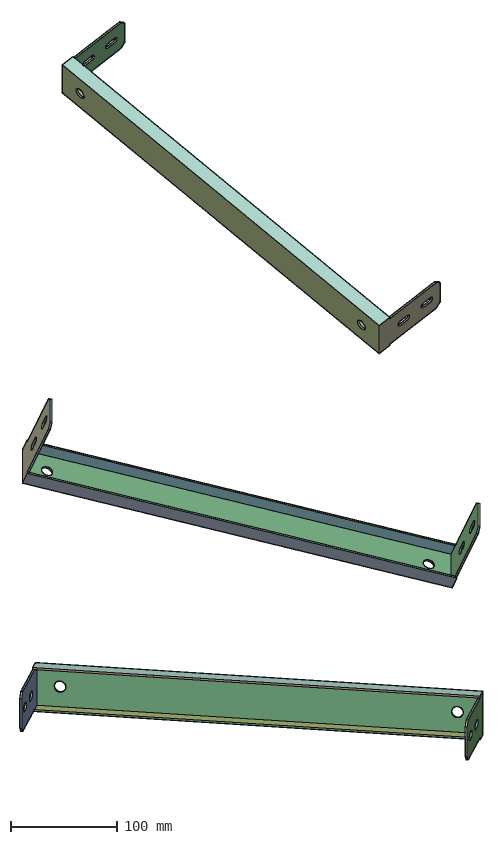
import cadquery as cq

LENGTH = 428.0
DEPTH = 80.0
HEIGHT = 44.0
SHEET = 2.0

FLANGE_DEPTH = 14.0

TAB_HEIGHT = HEIGHT - 2 * SHEET
TAB_CORNER_CHAMFER = 5.0

HOLE_DIAMETER = 11.0
HOLE_SPACING = 380.0

SLOT_LENGTH = 15.0
SLOT_WIDTH = 7.0
SLOT_SPACING = 30.0
SLOT_END_DISTANCE = 17.5


def make_channel():
    """Front web with rearward top and bottom flanges; the web's front face is at Y = 0."""
    outer = cq.Workplane("XY").box(LENGTH, FLANGE_DEPTH, HEIGHT, centered=(True, False, True))
    cavity = (
        cq.Workplane("XY")
        .box(LENGTH, FLANGE_DEPTH, TAB_HEIGHT, centered=(True, False, True))
        .translate((0, SHEET, 0))
    )
    return outer.cut(cavity)


def make_tab(side):
    """Slotted end tab at the -X end (side = -1) or the +X end (side = 1)."""
    tab = (
        cq.Workplane("XY")
        .box(SHEET, DEPTH, TAB_HEIGHT, centered=(True, False, True))
        .edges("|X and >Y")
        .chamfer(TAB_CORNER_CHAMFER)
    )
    far_slot_y = DEPTH - SLOT_END_DISTANCE
    slots = (
        cq.Workplane("YZ")
        .pushPoints([(far_slot_y, 0), (far_slot_y - SLOT_SPACING, 0)])
        .slot2D(SLOT_LENGTH, SLOT_WIDTH)
        .extrude(SHEET, both=True)
    )
    return tab.cut(slots).translate((side * (LENGTH - SHEET) / 2, 0, 0))


def make_web_holes():
    """Cutters for the two mounting holes, one near each end of the web."""
    return (
        cq.Workplane("XZ")
        .pushPoints([(-HOLE_SPACING / 2, 0), (HOLE_SPACING / 2, 0)])
        .circle(HOLE_DIAMETER / 2)
        .extrude(-SHEET)
    )


bracket = make_channel()
for end in (-1, 1):
    bracket = bracket.union(make_tab(end))
result = bracket.cut(make_web_holes())